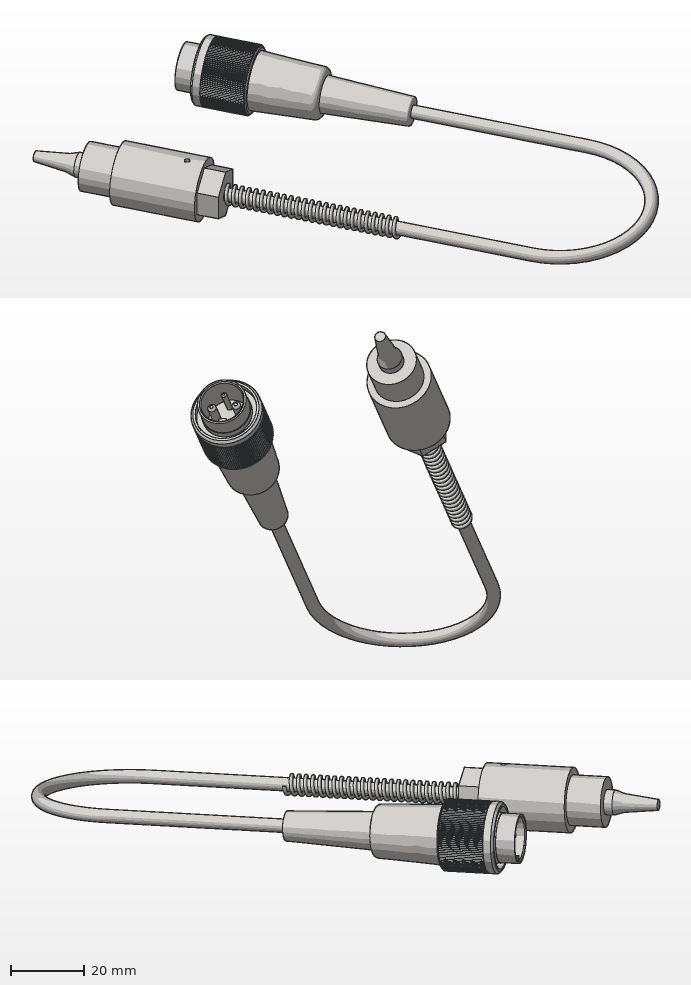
import cadquery as cq
import math

total_length = 169.7
total_width = 68.9
barrel_dia = 18.0
ring_dia = 19.9
axis_spacing = total_width - (barrel_dia + ring_dia) / 2

cable_dia = 3.7
bend_radius = axis_spacing / 2
bend_start_x = total_length - bend_radius - cable_dia / 2

tip_end_dia = 3.0
tip_cone_dia = 5.3
tip_base_dia = 7.0
tip_dome_height = 0.3
tip_cone_end_x = 10.0
tip_shoulder_x = 12.5

barrel_start_x = 15.0
barrel_step_x = 24.6
barrel_end_x = 48.9
barrel_neck_dia = 14.0
side_hole_dia = 1.5
side_hole_x = 44.0
side_hole_depth = 3.4
nut_length = 6.1
nut_across_flats = 13.0
nut_end_x = barrel_end_x + nut_length

wire_dia = 1.0
spring_outer_dia = 6.1
spring_length = 50.0
spring_turns = 25
spring_pitch = spring_length / spring_turns

plug_start_x = 26.6
shell_dia = 13.5
collar_dia = 14.0
socket_dia = 11.9
socket_depth = 10.0
socket_floor_x = plug_start_x + socket_depth
rim_chamfer = 0.3
side_pin_dia = 2.4
side_pin_offset = 3.4
top_pin_dia = 1.5
top_pin_offset = 3.5
pin_length = 7.8
pin_chamfer_ratio = 0.3
contact_hole_dia = 1.5
contact_hole_offset = 3.0
contact_hole_depth = 0.8
key_width = 2.0
key_height = 1.0
key_setback = 0.7

ring_start_x = 31.9
ring_end_x = 47.9
ring_chamfer = 0.7
ring_recess_dia = 17.1
ring_recess_depth = 2.0
knurl_start_x = 34.8
knurl_count = 110
knurl_depth = 0.3

boot_shoulder_x = 67.5
boot_end_x = 92.7
boot_start_dia = 16.8
boot_shoulder_dia = 14.8
boot_tail_start_dia = 10.7
boot_tail_end_dia = 8.3
boot_shoulder_fillet = 1.7
boot_end_fillet = 0.5

clearance = 1.7


def rod(start_x, end_x, diameter, y=0, z=0):
    """Round bar parallel to X."""
    return cq.Workplane("YZ", origin=(start_x, y, z)).circle(diameter / 2).extrude(end_x - start_x)


def plug_rod(start_x, end_x, diameter):
    """Round bar on the plug axis."""
    return rod(start_x, end_x, diameter, y=axis_spacing)


def make_tip():
    """Tapered tip whose small end is a shallow dome."""
    end_radius = tip_end_dia / 2
    dome_radius = (end_radius**2 + tip_dome_height**2) / (2 * tip_dome_height)
    dome_mid_y = end_radius / 2
    dome_mid_x = dome_radius - math.sqrt(dome_radius**2 - dome_mid_y**2)
    return (
        cq.Workplane("XY")
        .threePointArc((dome_mid_x, dome_mid_y), (tip_dome_height, end_radius))
        .lineTo(tip_cone_end_x, tip_cone_dia / 2)
        .lineTo(tip_shoulder_x, tip_base_dia / 2)
        .lineTo(barrel_start_x, tip_base_dia / 2)
        .lineTo(barrel_start_x, 0)
        .close()
        .revolve(360, (0, 0, 0), (1, 0, 0))
    )


def make_barrel():
    """Stepped barrel with a small blind hole in its upper side."""
    neck = rod(barrel_start_x, barrel_step_x, barrel_neck_dia)
    barrel = neck.union(rod(barrel_step_x, barrel_end_x, barrel_dia))
    side_hole = (
        cq.Workplane("XY", origin=(side_hole_x, 0, barrel_dia / 2 - side_hole_depth))
        .circle(side_hole_dia / 2)
        .extrude(side_hole_depth + clearance)
    )
    return barrel.cut(side_hole)


def make_nut():
    """Hexagonal nut with corners at top and bottom and a bore for the cable."""
    across_corners = nut_across_flats / math.cos(math.radians(30))
    nut = (
        cq.Workplane("YZ", origin=(barrel_end_x, 0, 0))
        .polygon(6, across_corners)
        .extrude(nut_length)
        .rotate((0, 0, 0), (1, 0, 0), 30)
    )
    return nut.cut(rod(barrel_end_x, nut_end_x, cable_dia))


def make_spring():
    """Coil spring whose first turn is ground flat against the nut."""
    coil_radius = (spring_outer_dia - wire_dia) / 2
    path = cq.Wire.makeHelix(spring_pitch, spring_length, coil_radius)
    coil = (
        cq.Workplane("XZ", origin=(coil_radius, 0, 0))
        .circle(wire_dia / 2)
        .sweep(path, isFrenet=True)
        .rotate((0, 0, 0), (0, 0, 1), 90)
        .rotate((0, 0, 0), (0, 1, 0), 90)
        .translate((nut_end_x, 0, 0))
    )
    beyond_nut = rod(nut_end_x, nut_end_x + spring_length + clearance, spring_outer_dia + clearance)
    return coil.intersect(beyond_nut)


def make_cable():
    """Cable from the barrel, through the nut, round the bend and through the boot to the plug."""
    path = (
        cq.Workplane("XY")
        .moveTo(barrel_end_x, 0)
        .lineTo(bend_start_x, 0)
        .threePointArc((bend_start_x + bend_radius, bend_radius), (bend_start_x, axis_spacing))
        .lineTo(ring_end_x, axis_spacing)
    )
    return cq.Workplane("YZ", origin=(barrel_end_x, 0, 0)).circle(cable_dia / 2).sweep(path)


def make_pin(diameter, y_offset, z_offset):
    """Contact pin standing on the socket floor, with a chamfered free end."""
    pin = rod(socket_floor_x - pin_length, socket_floor_x, diameter, axis_spacing + y_offset, z_offset)
    return pin.faces("<X").chamfer(pin_chamfer_ratio * diameter)


def make_key():
    """Key along the bottom of the socket, sunk halfway into the shell wall."""
    key_base_z = -(socket_dia + shell_dia) / 4
    key_top_z = -socket_dia / 2 + key_height
    key_length = socket_depth - key_setback
    return (
        cq.Workplane("XY", origin=(socket_floor_x - key_length / 2, axis_spacing, key_base_z))
        .rect(key_length, key_width)
        .extrude(key_top_z - key_base_z)
    )


def make_plug():
    """Shell with a keyed socket that holds three pins and one open contact hole."""
    plug = plug_rod(plug_start_x, ring_start_x, shell_dia)
    plug = plug.union(plug_rod(ring_start_x, ring_end_x, collar_dia))
    plug = plug.cut(plug_rod(plug_start_x, socket_floor_x, socket_dia))
    socket_mouth = cq.selectors.RadiusNthSelector(0)
    plug = plug.faces("<X").edges(socket_mouth).chamfer(rim_chamfer)
    for side in (-1, 1):
        plug = plug.union(make_pin(side_pin_dia, side * side_pin_offset, 0))
    plug = plug.union(make_pin(top_pin_dia, 0, top_pin_offset))
    hole_end_x = socket_floor_x + contact_hole_depth
    plug = plug.cut(rod(socket_floor_x, hole_end_x, contact_hole_dia, axis_spacing, -contact_hole_offset))
    return plug.union(make_key())


def make_knurl_cutter():
    """Sleeve with straight V teeth on its inside that cuts the knurl."""
    crest_radius = ring_dia / 2
    root_radius = crest_radius - knurl_depth
    outline = []
    for corner in range(2 * knurl_count):
        angle = math.pi * corner / knurl_count
        radius = crest_radius if corner % 2 == 0 else root_radius
        outline.append((radius * math.cos(angle), radius * math.sin(angle)))
    toothed_core = (
        cq.Workplane("YZ", origin=(knurl_start_x, axis_spacing, 0))
        .polyline(outline)
        .close()
        .extrude(ring_end_x - knurl_start_x)
    )
    return plug_rod(knurl_start_x, ring_end_x, ring_dia + clearance).cut(toothed_core)


def make_ring():
    """Coupling ring around the plug, recessed in front and knurled behind a plain band."""
    ring = plug_rod(ring_start_x, ring_end_x, ring_dia).faces("<X or >X").chamfer(ring_chamfer)
    ring = ring.cut(plug_rod(ring_start_x, ring_end_x, collar_dia))
    ring = ring.cut(plug_rod(ring_start_x, ring_start_x + ring_recess_depth, ring_recess_dia))
    return ring.cut(make_knurl_cutter())


def make_boot():
    """Boot of two tapered lengths with a rounded shoulder and a bore for the cable."""
    body = (
        cq.Workplane("XY", origin=(0, axis_spacing, 0))
        .moveTo(ring_end_x, 0)
        .lineTo(ring_end_x, boot_start_dia / 2)
        .lineTo(boot_shoulder_x, boot_shoulder_dia / 2)
        .lineTo(boot_shoulder_x, 0)
        .close()
        .revolve(360, (0, 0, 0), (1, 0, 0))
    )
    body = body.faces(">X").edges().fillet(boot_shoulder_fillet)
    tail = (
        cq.Workplane("XY", origin=(0, axis_spacing, 0))
        .moveTo(boot_shoulder_x, 0)
        .lineTo(boot_shoulder_x, boot_tail_start_dia / 2)
        .lineTo(boot_end_x, boot_tail_end_dia / 2)
        .lineTo(boot_end_x, 0)
        .close()
        .revolve(360, (0, 0, 0), (1, 0, 0))
    )
    tail = tail.faces(">X").edges().fillet(boot_end_fillet)
    return body.union(tail).cut(plug_rod(ring_end_x, boot_end_x, cable_dia))


tip = make_tip()
barrel = make_barrel()
nut = make_nut()
spring = make_spring()
cable = make_cable()
plug = make_plug()
ring = make_ring()
boot = make_boot()

bodies = [tip, barrel, nut, spring, cable, plug, ring, boot]
result = cq.Compound.makeCompound([body.solids().val() for body in bodies])